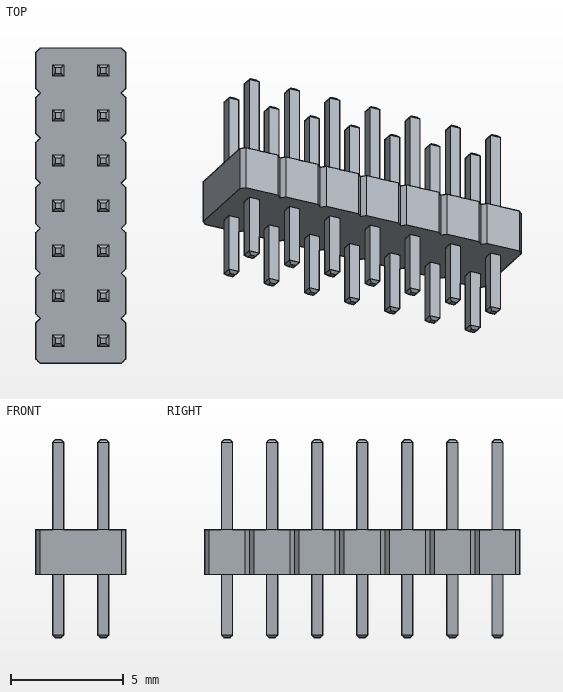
import cadquery as cq

PITCH = 2.0
COLUMNS = 2
ROWS = 7

BODY_WIDTH = COLUMNS * PITCH
BODY_HEIGHT = 2.0
CORNER_CUT = 0.2

PIN_SIZE = 0.5
PIN_ABOVE = 4.0
PIN_BELOW = 2.8
TIP_CHAMFER = PIN_SIZE / 4


def make_cell():
    """One row of the body: a block with its four vertical edges chamfered."""
    block = cq.Workplane("XY").box(BODY_WIDTH, PITCH, BODY_HEIGHT, centered=(True, True, False))
    return block.edges("|Z").chamfer(CORNER_CUT)


def make_pin():
    """A square pin running through the body, with chamfered tips."""
    length = PIN_BELOW + BODY_HEIGHT + PIN_ABOVE
    pin = cq.Workplane("XY").box(PIN_SIZE, PIN_SIZE, length, centered=(True, True, False))
    pin = pin.faces("<Z or >Z").edges().chamfer(TIP_CHAMFER)
    return pin.translate((0, 0, -PIN_BELOW))


def centered_positions(count):
    """Positions at the pin pitch, centred on zero."""
    return [(i - (count - 1) / 2) * PITCH for i in range(count)]


cell = make_cell()
pin = make_pin()
result = cq.Workplane("XY")
for y in centered_positions(ROWS):
    result = result.union(cell.translate((0, y, 0)))
    for x in centered_positions(COLUMNS):
        result = result.union(pin.translate((x, y, 0)))
result = result.clean()